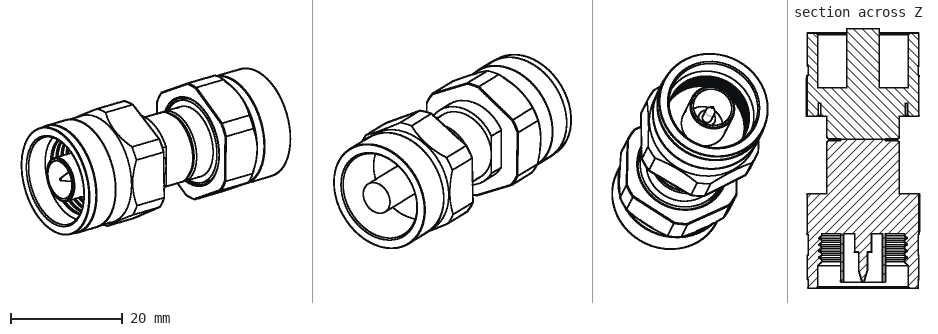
import cadquery as cq
import math

total_length = 46.5

barrel_radius = 9.9
band_radius = 10.0
band_chamfer = 0.1
hex_sides = 6
hex_half_angle = 180 / hex_sides
hex_across_flats = 20.1
hex_across_corners = 21.9
hex_corner_radius = hex_across_corners / 2
hex_length = 6.32
hex_edge_chamfer = 0.15
hex_turn = 1.2
cone_length = hex_corner_radius - barrel_radius
bore_mouth_radius = 8.35
bore_radius = 8.1
bore_mouth_chamfer = bore_mouth_radius - bore_radius
bore_depth = 9.75

front_band_start = 1.55
front_band_end = 5.95
front_hex_back = 16.95
thread_start = 4.05
thread_minor_radius = 7.4
thread_major_radius = 7.9
thread_pitch = 1.15
land_width = 0.4
groove_width = thread_pitch - land_width
thread_groove_count = 4

tube_outer_radius = 4.05
tube_tip_chamfer = 0.2
tube_bore_radius = 3.5
tube_tip = 1.05
shank_radius = 1.55
shank_tip = 6.5
pin_radius = 0.85
pin_tip_radius = 0.2
pin_tip = 1.2
pin_cone_length = 2.1

shaft_radius = 6.5
collar_radius = 7.5
collar_end = 20.1
joint_position = 26.6
joint_gap = 0.25
joint_chamfer = 0.33
spigot_radius = tube_outer_radius

rear_hex_front = 30.8
rear_band_start = 39.7
rear_band_end = 45.7
rear_plug_radius = 2.95
relief_mouth_radius = 8.25
relief_chamfer = 0.25
relief_outer_radius = relief_mouth_radius - relief_chamfer
relief_inner_radius = 7.63
relief_depth = 2.32


def revolve(points):
    """Solid of revolution about Y from (radius, y) points."""
    return cq.Workplane("XY").polyline(points).close().revolve(360, (0, 0, 0), (0, 1, 0))


def rod(radius, start, end):
    """Round rod along Y."""
    return revolve([(0, start), (radius, start), (radius, end), (0, end)])


def chamfered_rod(radius, start, end, start_chamfer, end_chamfer):
    """Round rod along Y with a 45 degree chamfer at each end (0 leaves an end square)."""
    points = [(0, start), (radius - start_chamfer, start)]
    if start_chamfer:
        points.append((radius, start + start_chamfer))
    points.append((radius, end - end_chamfer))
    if end_chamfer:
        points.append((radius - end_chamfer, end))
    points.append((0, end))
    return revolve(points)


def hex_section(back, direction):
    """Wrench hexagon: chamfered back face at `back`, coned down to the barrel on the other side.

    `direction` is the sign of Y from the back face towards the cone.
    """
    full_length = hex_length + cone_length
    corner_diameter = hex_across_flats / math.cos(math.radians(hex_half_angle))
    prism = (
        cq.Workplane("XZ", origin=(0, back, 0))
        .polygon(hex_sides, corner_diameter)
        .extrude(-direction * full_length)
        .rotate((0, 0, 0), (0, 1, 0), hex_half_angle + direction * hex_turn)
    )
    envelope = revolve([
        (0, back),
        (hex_corner_radius, back),
        (hex_corner_radius, back + direction * hex_length),
        (barrel_radius, back + direction * full_length),
        (0, back + direction * full_length),
    ])
    back_face = "<Y" if direction > 0 else ">Y"
    return prism.intersect(envelope).faces(back_face).chamfer(hex_edge_chamfer)


def front_nut_cavity():
    """Smooth mouth, coned entry and a threaded bore made of V-shaped ring grooves."""
    first_land = thread_start + bore_radius - thread_minor_radius
    points = [
        (0, 0),
        (bore_mouth_radius, 0),
        (bore_radius, bore_mouth_chamfer),
        (bore_radius, thread_start),
        (thread_minor_radius, first_land),
    ]
    for index in range(thread_groove_count):
        groove_start = first_land + index * thread_pitch + land_width
        points.append((thread_minor_radius, groove_start))
        points.append((thread_major_radius, groove_start + groove_width / 2))
        points.append((thread_minor_radius, groove_start + groove_width))
    points.append((thread_minor_radius, bore_depth))
    points.append((0, bore_depth))
    return revolve(points)


def contact_tube():
    """Thin outer contact with a chamfered tip."""
    return revolve([
        (tube_bore_radius, bore_depth),
        (tube_bore_radius, tube_tip),
        (tube_outer_radius - tube_tip_chamfer, tube_tip),
        (tube_outer_radius, tube_tip + tube_tip_chamfer),
        (tube_outer_radius, bore_depth),
    ])


def centre_pin():
    """Stepped centre pin with a tapered tip."""
    return revolve([
        (0, bore_depth),
        (shank_radius, bore_depth),
        (shank_radius, shank_tip),
        (pin_radius, shank_tip),
        (pin_radius, pin_tip + pin_cone_length),
        (pin_tip_radius, pin_tip),
        (0, pin_tip),
    ])


def flatted_collar():
    """Round collar with two flats level with the shaft."""
    collar = rod(collar_radius, front_hex_back, collar_end)
    flats = cq.Workplane("XY").box(2 * shaft_radius, 2 * total_length, 2 * collar_radius)
    return collar.intersect(flats)


def relief_groove():
    """Clearance groove with a chamfered mouth around the core of the rear nut."""
    groove_floor = rear_hex_front + relief_depth
    return revolve([
        (relief_inner_radius, rear_hex_front),
        (relief_mouth_radius, rear_hex_front),
        (relief_outer_radius, rear_hex_front + relief_chamfer),
        (relief_outer_radius, groove_floor),
        (relief_inner_radius, groove_floor),
    ])


def rear_nut_cavity():
    """Plain annular bore around the plug, with a chamfered mouth."""
    cavity_floor = rear_band_end - bore_depth
    return revolve([
        (rear_plug_radius, rear_band_end),
        (bore_mouth_radius, rear_band_end),
        (bore_radius, rear_band_end - bore_mouth_chamfer),
        (bore_radius, cavity_floor),
        (rear_plug_radius, cavity_floor),
    ])


def make_front_half():
    """Front connector: coupling nut, contacts, flatted collar, shaft and joint spigot."""
    shaft_end = joint_position - joint_gap / 2
    nut = (
        chamfered_rod(barrel_radius, 0, front_hex_back - hex_length, band_chamfer, 0)
        .union(chamfered_rod(band_radius, front_band_start, front_band_end, band_chamfer, 0))
        .union(hex_section(front_hex_back, -1))
        .cut(front_nut_cavity())
    )
    shaft = chamfered_rod(shaft_radius, front_hex_back, shaft_end, 0, joint_chamfer)
    spigot = rod(spigot_radius, shaft_end, shaft_end + joint_gap)
    return nut.union(shaft).union(flatted_collar()).union(spigot).union(contact_tube()).union(centre_pin())


def make_rear_half():
    """Rear connector: shaft, coupling nut with a relief groove, and protruding plug."""
    shaft_start = joint_position + joint_gap / 2
    nut = (
        chamfered_rod(barrel_radius, rear_hex_front + hex_length, rear_band_end, 0, band_chamfer)
        .union(chamfered_rod(band_radius, rear_band_start, rear_band_end, band_chamfer, band_chamfer))
        .union(hex_section(rear_hex_front, 1))
        .cut(relief_groove())
        .cut(rear_nut_cavity())
    )
    shaft = chamfered_rod(shaft_radius, shaft_start, rear_hex_front, joint_chamfer, 0)
    plug = rod(rear_plug_radius, rear_band_end - bore_depth, total_length)
    return nut.union(shaft).union(plug)


front_half = make_front_half()
rear_half = make_rear_half()

result = cq.Compound.makeCompound([front_half.solids().val(), rear_half.solids().val()])